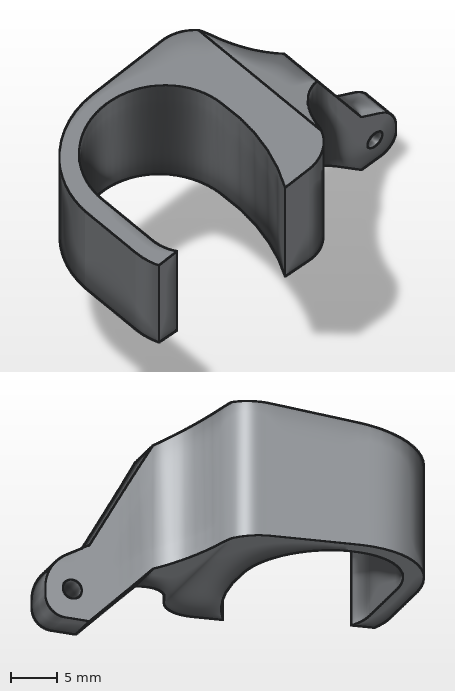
import cadquery as cq
import math


left_x = -11.0
right_x = 13.0
bore_radius = 9.0
outer_radius = 11.45
front_y = -11.43
lip_bend_x = 8.0
lip_end_x = 11.0
lip_outer_radius = 8.0
front_wall = -bore_radius - front_y
lip_inner_radius = lip_outer_radius - front_wall
jaw_end_y = 6.0
jaw_radius = 23.0

tab_half_width = 2.0
back_y = 32.8
flare_start_y = 24.0
flare_radius = 10.0
shoulder_radius = 5.0

ridge_y = 14.05
half_height_ridge = 8.0
half_height_front = 6.5
knee_y = 20.5
knee_top_z = 4.5
knee_bottom_z = -10.0
heel_y = 27.65
heel_top_z = -8.1
bottom_z = -17.05
nose_slope = math.radians(30)
nose_top_radius = 4.8
nose_bottom_radius = 2.3

hole_diameter = 2.2
hole_y = 29.65
hole_z = -13.6


def circle_point(center, radius, angle):
    """Point on a circle, with the angle in radians."""
    x = center[0] + radius * math.cos(angle)
    y = center[1] + radius * math.sin(angle)
    return (x, y)


def shoulder_blend(side_x):
    """Points of the S-curve from a body side to the tab: start, mid, join, mid, end.

    A convex shoulder arc is tangent to the body side and to a concave flare
    arc, and the flare arc is tangent to the side of the tab.
    """
    side = math.copysign(1, side_x)
    flare_center_x = tab_half_width + flare_radius
    shoulder_center_x = abs(side_x) - shoulder_radius
    run = flare_center_x - shoulder_center_x
    rise = math.sqrt((flare_radius + shoulder_radius) ** 2 - run**2)
    flare_center = (flare_center_x, flare_start_y)
    shoulder_center = (shoulder_center_x, flare_start_y - rise)
    join_angle = math.atan2(rise, run)
    points = [
        circle_point(shoulder_center, shoulder_radius, 0),
        circle_point(shoulder_center, shoulder_radius, join_angle / 2),
        circle_point(shoulder_center, shoulder_radius, join_angle),
        circle_point(flare_center, flare_radius, math.pi + join_angle / 2),
        circle_point(flare_center, flare_radius, math.pi),
    ]
    return [(side * x, y) for x, y in points]


def lip_arc(start_y, radius):
    """Middle and end of the lip arc that leaves a straight edge tangentially."""
    center = (lip_bend_x, start_y + radius)
    sweep = math.asin((lip_end_x - lip_bend_x) / radius)
    middle = circle_point(center, radius, -math.pi / 2 + sweep / 2)
    end = circle_point(center, radius, -math.pi / 2 + sweep)
    return middle, end


def plan_solid():
    """Open clip and tab outline, extruded over the full height."""
    left = shoulder_blend(left_x)
    right = shoulder_blend(right_x)
    lip_outer_mid, lip_outer_end = lip_arc(front_y, lip_outer_radius)
    lip_inner_mid, lip_inner_end = lip_arc(-bore_radius, lip_inner_radius)
    return (
        cq.Workplane("XY", origin=(0, 0, bottom_z))
        .moveTo(left_x, 0)
        .lineTo(*left[0])
        .threePointArc(left[1], left[2])
        .threePointArc(left[3], left[4])
        .lineTo(-tab_half_width, back_y)
        .lineTo(tab_half_width, back_y)
        .lineTo(*right[4])
        .threePointArc(right[3], right[2])
        .threePointArc(right[1], right[0])
        .lineTo(right_x, jaw_end_y)
        .radiusArc((0, bore_radius), -jaw_radius)
        .threePointArc((-bore_radius, 0), (0, -bore_radius))
        .lineTo(lip_bend_x, -bore_radius)
        .threePointArc(lip_inner_mid, lip_inner_end)
        .lineTo(*lip_outer_end)
        .threePointArc(lip_outer_mid, (lip_bend_x, front_y))
        .lineTo(0, front_y)
        .radiusArc((left_x, 0), outer_radius)
        .close()
        .extrude(half_height_ridge - bottom_z)
    )


def side_solid():
    """Tapered body and cranked tab profile, extruded across the full width."""
    nose_end_y = back_y - nose_top_radius * (1 - math.sin(nose_slope))
    nose_end_z = heel_top_z - (nose_end_y - heel_y) * math.tan(nose_slope)
    nose_top_center = (
        back_y - nose_top_radius,
        nose_end_z - nose_top_radius * math.cos(nose_slope),
    )
    nose_mid_angle = (math.pi / 2 - nose_slope) / 2
    nose_bottom_center = (back_y - nose_bottom_radius, bottom_z + nose_bottom_radius)
    return (
        cq.Workplane("YZ", origin=(left_x, 0, 0))
        .moveTo(front_y, half_height_front)
        .lineTo(ridge_y, half_height_ridge)
        .lineTo(knee_y, knee_top_z)
        .lineTo(heel_y, heel_top_z)
        .lineTo(nose_end_y, nose_end_z)
        .threePointArc(
            circle_point(nose_top_center, nose_top_radius, nose_mid_angle),
            (back_y, nose_top_center[1]),
        )
        .lineTo(back_y, nose_bottom_center[1])
        .threePointArc(
            circle_point(nose_bottom_center, nose_bottom_radius, math.radians(-45)),
            (nose_bottom_center[0], bottom_z),
        )
        .lineTo(heel_y, bottom_z)
        .lineTo(knee_y, knee_bottom_z)
        .lineTo(ridge_y, -half_height_ridge)
        .lineTo(front_y, -half_height_front)
        .close()
        .extrude(right_x - left_x)
    )


def pivot_hole():
    """Cylinder along X that pierces the tab."""
    return (
        cq.Workplane("YZ", origin=(-tab_half_width, hole_y, hole_z))
        .circle(hole_diameter / 2)
        .extrude(2 * tab_half_width)
    )


result = plan_solid().intersect(side_solid()).cut(pivot_hole())